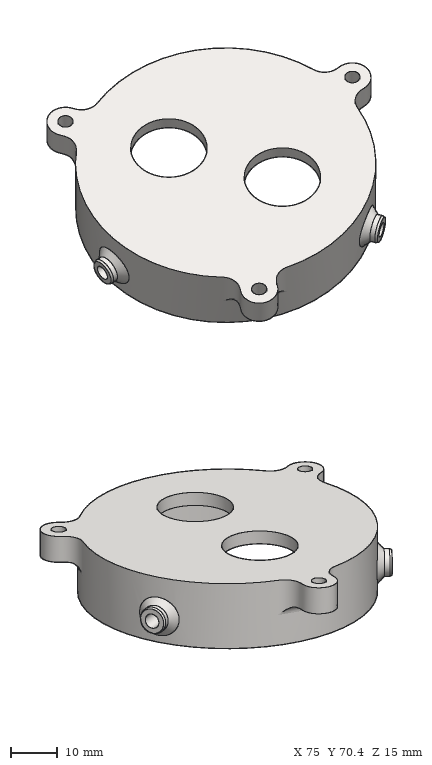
import cadquery as cq
import math

body_diameter = 64.0
cavity_diameter = 58.0
body_height = 15.0
top_thickness = 3.0

window_diameter = 16.3
window_spacing = 25.5

lug_angles = (60, 180, 300)
lug_pitch_radius = 36.0
lug_radius = 4.0
lug_height = 6.0
lug_hole_diameter = 3.2
side_blend_radius = 4.0
under_blend_radius = 2.0

nozzle_angles = (0, 120, 240)
nozzle_tip = 35.0
nozzle_neck = 33.4
nozzle_diameter = 6.0
nozzle_bore = 3.2
nozzle_height = 6.0
tip_chamfer_length = 0.5
tip_chamfer_depth = 0.2

body_radius = body_diameter / 2
cavity_radius = cavity_diameter / 2
wall_middle = (body_radius + cavity_radius) / 2
lug_bottom = body_height - lug_height


def make_cup():
    cup = cq.Workplane("XY").circle(body_radius).extrude(body_height)
    cavity = cq.Workplane("XY").circle(cavity_radius).extrude(body_height - top_thickness)
    return cup.cut(cavity)


def lug_prism(bottom):
    """Lug pointing along +X, with concave side blends tangent to the body."""
    blend_y = lug_radius + side_blend_radius
    center_distance = body_radius + side_blend_radius
    blend_x = math.sqrt(center_distance**2 - blend_y**2)
    root_x = blend_x * body_radius / center_distance
    root_y = blend_y * body_radius / center_distance
    arc_angle = (math.atan2(-blend_y, -blend_x) - math.pi / 2) / 2
    mid_x = blend_x + side_blend_radius * math.cos(arc_angle)
    mid_y = blend_y + side_blend_radius * math.sin(arc_angle)
    return (
        cq.Workplane("XY", origin=(0, 0, bottom))
        .moveTo(wall_middle * root_x / body_radius, root_y)
        .lineTo(root_x, root_y)
        .threePointArc((mid_x, mid_y), (blend_x, lug_radius))
        .lineTo(lug_pitch_radius, lug_radius)
        .threePointArc((lug_pitch_radius + lug_radius, 0), (lug_pitch_radius, -lug_radius))
        .lineTo(blend_x, -lug_radius)
        .threePointArc((mid_x, -mid_y), (root_x, -root_y))
        .lineTo(wall_middle * root_x / body_radius, -root_y)
        .threePointArc((wall_middle, 0), (wall_middle * root_x / body_radius, root_y))
        .close()
        .extrude(body_height - bottom)
    )


def under_blend_ring():
    """Ring under the lugs with a concave quarter-round between body and lug underside."""
    blend_bottom = lug_bottom - under_blend_radius
    outer = body_radius + under_blend_radius
    arc_offset = under_blend_radius * math.sqrt(0.5)
    return (
        cq.Workplane("XZ")
        .moveTo(wall_middle, blend_bottom)
        .lineTo(body_radius, blend_bottom)
        .threePointArc((outer - arc_offset, blend_bottom + arc_offset), (outer, lug_bottom))
        .lineTo(wall_middle, lug_bottom)
        .close()
        .revolve(360, (0, 0, 0), (0, 1, 0))
    )


def make_lug():
    support = lug_prism(lug_bottom - under_blend_radius).intersect(under_blend_ring())
    hole = (
        cq.Workplane("XY", origin=(lug_pitch_radius, 0, lug_bottom))
        .circle(lug_hole_diameter / 2)
        .extrude(lug_height)
    )
    return lug_prism(lug_bottom).union(support).cut(hole)


def make_nozzle():
    """Nozzle along +X: a 45 degree cone, a short neck and a chamfered tip."""
    neck_radius = nozzle_diameter / 2
    cone_radius = neck_radius + nozzle_neck - wall_middle
    return (
        cq.Workplane("XY")
        .moveTo(wall_middle, 0)
        .lineTo(wall_middle, cone_radius)
        .lineTo(nozzle_neck, neck_radius)
        .lineTo(nozzle_tip - tip_chamfer_length, neck_radius)
        .lineTo(nozzle_tip, neck_radius - tip_chamfer_depth)
        .lineTo(nozzle_tip, 0)
        .close()
        .revolve(360, (0, 0, 0), (1, 0, 0))
        .translate((0, 0, nozzle_height))
    )


def make_nozzle_bore():
    """Bore from the nozzle tip into the cavity."""
    bore_start = cavity_radius - nozzle_bore / 2
    return (
        cq.Workplane("YZ", origin=(bore_start, 0, nozzle_height))
        .circle(nozzle_bore / 2)
        .extrude(nozzle_tip - bore_start)
    )


def turned(shape, angle):
    return shape.rotate((0, 0, 0), (0, 0, 1), angle)


result = make_cup()
for angle in lug_angles:
    result = result.union(turned(make_lug(), angle))
for angle in nozzle_angles:
    result = result.union(turned(make_nozzle(), angle))
    result = result.cut(turned(make_nozzle_bore(), angle))

windows = (
    cq.Workplane("XY")
    .pushPoints([(-window_spacing / 2, 0), (window_spacing / 2, 0)])
    .circle(window_diameter / 2)
    .extrude(body_height)
)
result = result.cut(windows)